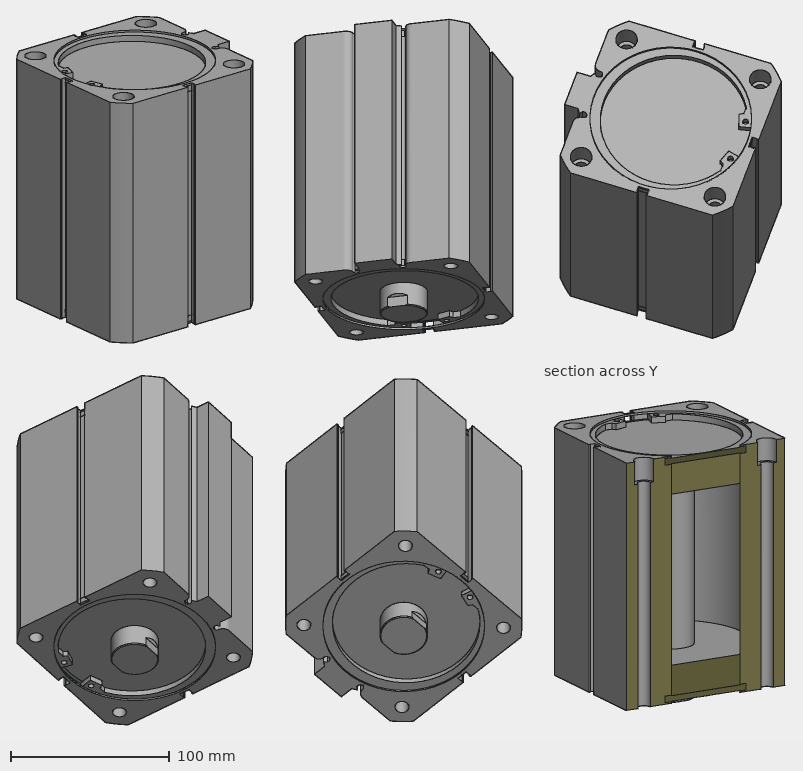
import cadquery as cq
import math

width = 115.0
half = width / 2
height = 162.5
corner_setback = 10.2
corner_radius = math.hypot(half, half - corner_setback)

bore_diameter = 101.9
bolt_offset = 44.5
bolt_hole_diameter = 8.7
counterbore_diameter = 13.5
counterbore_depth = 15.0

slot_mouth = 6.0
slot_inner_width = 7.0
slot_depth = 4.5
slot_lip = 1.2

rail_width = 24.5
rail_height = 9.0
groove_width = 4.1
groove_center_x = 15.4
groove_center_y = 52.8
groove_entry_radius = half - groove_center_y
rail_lip_drop = 2.0
rail_lip_underside = 1.4

ring_inset = 1.3
ring_thickness = 4.0
ring_outer_radius = 53.2
ring_inner_radius = 46.5
ring_inner_shift = -2.2
gap_half_width = 12.0
lug_outline = [(24.2, -42.0), (19.3, -42.0), (17.7, -39.4), (9.3, -42.1)]
lug_hole_diameter = 3.5
lug_hole_x = 14.1
lug_hole_y = -45.0
ring_turn = -0.9

cover_thickness = 20.0
rod_diameter = 30.0
rod_radius = rod_diameter / 2
rod_projection = 10.0
wrench_flat_width = 27.0
flat_shoulder = 1.9
rod_end_chamfer = 0.6

lower_ring_z = ring_inset
upper_ring_z = height - ring_inset - ring_thickness
lower_cover_z = lower_ring_z + ring_thickness
upper_cover_z = upper_ring_z - cover_thickness


def cylinder(diameter, length, z):
    return cq.Workplane("XY").workplane(offset=z).circle(diameter / 2).extrude(length)


def sensor_slot(angle):
    """Undercut slot open to the -Y face, turned about Z by the angle."""
    mouth = cq.Workplane("XY").rect(slot_mouth, 2 * slot_depth).extrude(height)
    inner_depth = slot_depth - slot_lip
    inner = (
        cq.Workplane("XY")
        .center(0, slot_lip + inner_depth / 2)
        .rect(slot_inner_width, inner_depth)
        .extrude(height)
    )
    slot = mouth.union(inner).translate((0, -half, 0))
    return slot.rotate((0, 0, 0), (0, 0, 1), angle)


def rail_groove():
    """Round-bottomed groove beside the rail, on the +X flank."""
    groove_radius = groove_width / 2
    inner_x = groove_center_x - groove_radius
    outer_x = groove_center_x + groove_radius
    lip_y = half - rail_lip_drop
    return (
        cq.Workplane("XY")
        .moveTo(rail_width / 2, half)
        .lineTo(groove_center_x, lip_y)
        .lineTo(inner_x, lip_y - rail_lip_underside)
        .lineTo(inner_x, groove_center_y)
        .threePointArc((groove_center_x, groove_center_y - groove_radius), (outer_x, groove_center_y))
        .radiusArc((outer_x + groove_entry_radius, half), groove_entry_radius)
        .close()
        .extrude(height)
    )


def make_housing():
    body = cq.Workplane("XY").rect(width, width).extrude(height)
    body = body.intersect(cylinder(2 * corner_radius, height, 0))
    rail = (
        cq.Workplane("XY")
        .center(0, half)
        .rect(rail_width, 2 * rail_height)
        .extrude(height)
    )
    body = body.union(rail)
    body = body.cut(cylinder(bore_diameter, height, 0))
    for z in (lower_ring_z, upper_ring_z):
        body = body.cut(cylinder(2 * ring_outer_radius, ring_thickness, z))
    for angle in (-90, 0, 90):
        body = body.cut(sensor_slot(angle))
    groove = rail_groove()
    body = body.cut(groove).cut(groove.mirror("YZ"))
    return (
        body.faces(">Z")
        .workplane(origin=(0, 0, height))
        .rect(2 * bolt_offset, 2 * bolt_offset, forConstruction=True)
        .vertices()
        .cboreHole(bolt_hole_diameter, counterbore_diameter, counterbore_depth)
    )


def make_ring(z):
    """Internal retaining ring, open at -Y, with a drilled lug on each side of the gap."""
    plate = cylinder(2 * ring_outer_radius, ring_thickness, 0)
    opening = cylinder(2 * ring_inner_radius, ring_thickness, 0).translate((0, ring_inner_shift, 0))
    ring = plate.cut(opening)
    tip_x, tip_y = lug_outline[-1]
    root_x = lug_outline[0][0]
    lug = (
        cq.Workplane("XY")
        .polyline([*lug_outline, (gap_half_width, -ring_outer_radius), (root_x, -ring_outer_radius)])
        .close()
        .extrude(ring_thickness)
        .intersect(plate)
    )
    gap = (
        cq.Workplane("XY")
        .polyline([(0, tip_y), (tip_x, tip_y), (gap_half_width, -ring_outer_radius), (0, -ring_outer_radius)])
        .close()
        .extrude(ring_thickness)
    )
    hole = cylinder(lug_hole_diameter, ring_thickness, 0).translate((lug_hole_x, lug_hole_y, 0))
    ring = ring.union(lug).union(lug.mirror("YZ"))
    ring = ring.cut(gap).cut(gap.mirror("YZ"))
    ring = ring.cut(hole).cut(hole.mirror("YZ"))
    return ring.rotate((0, 0, 0), (0, 0, 1), ring_turn).translate((0, 0, z))


def make_rod():
    rod = cylinder(rod_diameter, rod_projection + upper_cover_z, -rod_projection)
    rod = rod.faces("<Z").chamfer(rod_end_chamfer)
    flat_y = wrench_flat_width / 2
    flat = (
        cq.Workplane("YZ")
        .polyline([
            (rod_radius, -flat_shoulder),
            (flat_y, -flat_shoulder - (rod_radius - flat_y)),
            (flat_y, -rod_projection),
            (rod_radius, -rod_projection),
        ])
        .close()
        .extrude(rod_radius, both=True)
    )
    return rod.cut(flat).cut(flat.mirror("XZ"))


housing = make_housing()
rings = [make_ring(z) for z in (lower_ring_z, upper_ring_z)]
rear_cover = cylinder(bore_diameter, cover_thickness, upper_cover_z)
rod_cover = cylinder(bore_diameter, cover_thickness, lower_cover_z).cut(cylinder(rod_diameter, height, 0))
piston_rod = make_rod()

result = cq.Compound.makeCompound([
    housing.val(),
    *[ring.val() for ring in rings],
    rear_cover.val(),
    rod_cover.val(),
    piston_rod.val(),
])